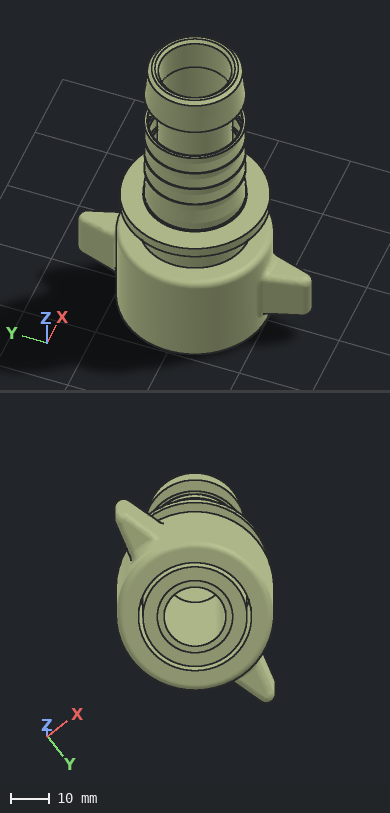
import cadquery as cq
import math

total_height = 88.5
barb_diameter = 26.5
head_bottom_z = 78.4
head_shoulder_z = 87.6
head_shoulder_diameter = 24.8
head_rim_diameter = 22.5
mouth_diameter = 20.8
mouth_depth = 0.9
tail_diameter = 19.6
tail_bore_diameter = 19.0
through_bore_diameter = 16.0

sleeve_wall = 0.22
ledge_thickness = 0.1
barb_root_diameter = 25.0
sleeve_top_z = 68.5
rib_count = 3
ribs_bottom_z = 47.6
rib_pitch = (sleeve_top_z - ribs_bottom_z) / (rib_count + 0.5)
rib_flare_height = rib_pitch / 2
collar_flare_bottom_z = 43.5
collar_bottom_z = 40.8
flange_top_z = 40.6
flange_thickness = 3.0
flange_diameter = 39.0
tube_diameter = 27.0

nut_diameter = 41.0
nut_height = 28.0
nut_hole_diameter = 29.3
nut_edge_radius = 1.95
wing_count = 2
wing_span = 65.0
wing_taper_angle = 15.0
wing_tip_half_width = 1.9
wing_root_radius = 17.7
wing_center_z = nut_height / 2
wing_tip_half_height = 6.8
wing_draft_angle = 3.0
wing_tip_radius = 2.4
wing_edge_radius = 2.0
wing_root_fillet = 1.95
seam_margin = 0.2


def revolve_about_z(points):
    """Turn a closed (radius, z) outline about the Z axis."""
    return cq.Workplane("XZ").polyline(points).close().revolve(360, (0, 0, 0), (0, 1, 0))


def make_hose_tail():
    barb_radius = barb_diameter / 2
    tail_radius = tail_diameter / 2
    bore_radius = tail_bore_diameter / 2
    through_radius = through_bore_diameter / 2
    cone_top_z = flange_top_z
    cone_bottom_z = cone_top_z - (bore_radius - through_radius)
    return revolve_about_z([
        (through_radius, 0),
        (tail_radius, 0),
        (tail_radius, head_bottom_z),
        (barb_radius, head_bottom_z),
        (head_shoulder_diameter / 2, head_shoulder_z),
        (head_rim_diameter / 2, total_height),
        (mouth_diameter / 2, total_height),
        (bore_radius, total_height - mouth_depth),
        (bore_radius, cone_top_z),
        (through_radius, cone_bottom_z),
    ])


def sleeve_wall_outline(inset, ledge_rise):
    """Ribbed face from the top lip to the collar: radii shrunk by inset, rib ledges lifted by ledge_rise."""
    root_radius = barb_root_diameter / 2 - inset
    crest_radius = barb_diameter / 2 - inset
    points = [(root_radius, sleeve_top_z - ledge_thickness + ledge_rise)]
    for rib in range(rib_count):
        crest_z = sleeve_top_z - (rib + 1) * rib_pitch
        points += [
            (root_radius, crest_z + rib_flare_height),
            (crest_radius, crest_z + ledge_rise),
            (root_radius, crest_z + ledge_rise),
        ]
    points += [
        (root_radius, ribs_bottom_z),
        (crest_radius, collar_flare_bottom_z),
    ]
    return points


def make_sleeve():
    crest_radius = barb_diameter / 2
    tube_radius = tube_diameter / 2
    flange_radius = flange_diameter / 2
    flange_bottom_z = flange_top_z - flange_thickness
    bore_radius = tail_diameter / 2
    top_lip = [(crest_radius, sleeve_top_z), (crest_radius, sleeve_top_z - ledge_thickness)]
    collar_and_flange = [
        (crest_radius, collar_bottom_z),
        (tube_radius, collar_bottom_z),
        (tube_radius, flange_top_z),
        (flange_radius, flange_top_z),
        (flange_radius, flange_bottom_z),
        (tube_radius, flange_bottom_z),
        (tube_radius, 0),
    ]
    bore_and_cavity_floor = [
        (bore_radius, 0),
        (bore_radius, collar_bottom_z),
        (crest_radius - sleeve_wall, collar_bottom_z),
    ]
    outer_face = sleeve_wall_outline(0, 0)
    inner_face = sleeve_wall_outline(sleeve_wall, ledge_thickness)
    return revolve_about_z(
        top_lip + outer_face + collar_and_flange + bore_and_cavity_floor + inner_face[::-1]
    )


def make_wing():
    """Wing along +Y: tapers in plan and in height, with all outer edges rounded."""
    tip_y = wing_span / 2
    length = tip_y - wing_root_radius
    root_half_width = wing_tip_half_width + length * math.tan(math.radians(wing_taper_angle))
    root_half_height = wing_tip_half_height + length * math.tan(math.radians(wing_draft_angle))
    root_plane = cq.Plane(origin=(0, wing_root_radius, wing_center_z), xDir=(1, 0, 0), normal=(0, 1, 0))
    wing = (
        cq.Workplane(root_plane)
        .rect(2 * root_half_width, 2 * root_half_height)
        .workplane(offset=length)
        .rect(2 * wing_tip_half_width, 2 * wing_tip_half_height)
        .loft(ruled=True)
    )
    wing = wing.edges("|Z and >Y").fillet(wing_tip_radius)
    return wing.faces(">Z or <Z").edges("not <Y").fillet(wing_edge_radius)


def make_wing_nut():
    body = cq.Workplane("XY").circle(nut_diameter / 2).extrude(nut_height)
    body = body.edges().fillet(nut_edge_radius)
    wing = make_wing()
    for index in range(wing_count):
        body = body.union(wing.rotate((0, 0, 0), (0, 0, 1), index * 360 / wing_count))
    seam_reach = nut_diameter / 2 + seam_margin
    seam_top = wing_center_z + wing_tip_half_height + wing_root_fillet
    seam_bottom = 2 * wing_center_z - seam_top
    seam_boxes = [
        cq.selectors.BoxSelector(
            (-wing_root_radius / 2, side * wing_root_radius, seam_bottom),
            (wing_root_radius / 2, side * seam_reach, seam_top),
            boundingbox=True,
        )
        for side in (1, -1)
    ]
    body = body.edges(seam_boxes[0] + seam_boxes[1]).fillet(wing_root_fillet)
    hole = cq.Workplane("XY").circle(nut_hole_diameter / 2).extrude(nut_height)
    return body.cut(hole)


hose_tail = make_hose_tail()
sleeve = make_sleeve()
wing_nut = make_wing_nut()

result = cq.Compound.makeCompound([hose_tail.val(), sleeve.val(), wing_nut.val()])